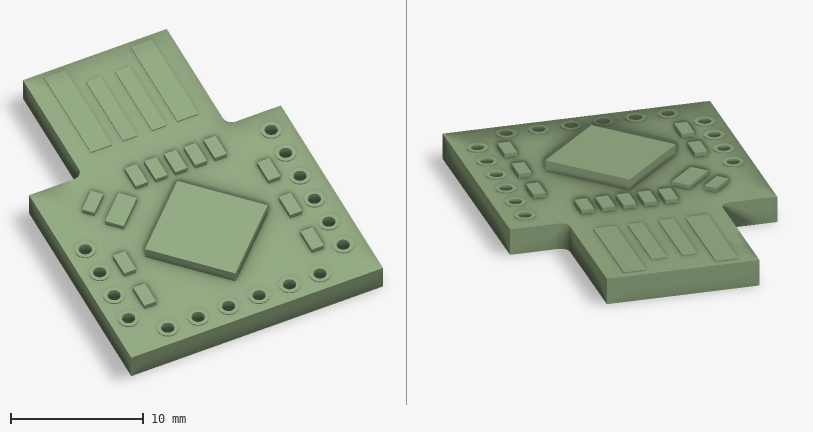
import cadquery as cq

board_length = 28.6
board_width = 21.0
board_thickness = 2.11
plug_length = 10.6
plug_width = 12.0
corner_radius = 0.75

copper_thickness = 0.1
contact_end_x = 8.78
power_contact_length = 8.22
power_contact_width = 1.76
power_contact_offset = 3.61
data_contact_length = 6.5
data_contact_width = 1.2
data_contact_offset = 1.21

hole_diameter = 1.0
ring_diameter = 1.6
hole_pitch = 2.54
back_row_count = 6
back_row_start = (12.58, 8.75)
front_row_count = 4
front_row_start = (17.39, -9.03)
end_row_count = 6
end_row_start = (27.14, -6.77)

overall_height = 3.01
chip_height = overall_height - board_thickness
chip_side = 7.24
chip_center = (19.92, -0.13)
turn_angle = -45

component_height = 0.4
component_length = 2.0
component_width = 1.0
column_count = 5
column_pitch = 1.65
column_start = (12.55, -2.5)
back_component_count = 3
back_component_pitch = 3.83
back_component_start = (16.3, 6.79)
front_component_count = 2
front_component_pitch = 3.56
front_component_start = (20.06, -7.02)
turned_component_center = (13.56, -6.6)
capacitor_length = 3.0
capacitor_width = 1.5
capacitor_center = (15.17, -5.0)


def row_along_x(start, pitch, count):
    return [(start[0] + i * pitch, start[1]) for i in range(count)]


def row_along_y(start, pitch, count):
    return [(start[0], start[1] + i * pitch) for i in range(count)]


def block_on_board(center, length, width, height, angle=0):
    """Rectangular block standing on the top face, turned about its own centre."""
    block = cq.Workplane("XY").box(length, width, height, centered=(True, True, False))
    block = block.rotate((0, 0, 0), (0, 0, 1), angle)
    return block.translate((center[0], center[1], board_thickness))


def make_board():
    """Wide body and narrower plug, with rounded inside corners between them."""
    body_length = board_length - plug_length
    centering = (False, True, False)
    body = cq.Workplane("XY").box(body_length, board_width, board_thickness, centered=centering)
    plug = cq.Workplane("XY").box(board_length, plug_width, board_thickness, centered=centering)
    board = body.translate((plug_length, 0, 0)).union(plug)
    inside_corners = cq.selectors.BoxSelector(
        (plug_length - corner_radius, -plug_width / 2 - corner_radius, 0),
        (plug_length + corner_radius, plug_width / 2 + corner_radius, board_thickness),
    )
    return board.edges("|Z").edges(inside_corners).fillet(corner_radius)


def add_contacts(board):
    contact_kinds = [
        (power_contact_length, power_contact_width, power_contact_offset),
        (data_contact_length, data_contact_width, data_contact_offset),
    ]
    for length, width, offset in contact_kinds:
        for side in (-1, 1):
            center = (contact_end_x - length / 2, side * offset)
            board = board.union(block_on_board(center, length, width, copper_thickness))
    return board


def add_pin_holes(board):
    """Raised copper rings, with a hole through each ring and the board."""
    centers = row_along_x(back_row_start, hole_pitch, back_row_count)
    centers += row_along_x(front_row_start, hole_pitch, front_row_count)
    centers += row_along_y(end_row_start, hole_pitch, end_row_count)
    ring_top = board_thickness + copper_thickness
    rings = (
        cq.Workplane("XY", origin=(0, 0, board_thickness))
        .pushPoints(centers)
        .circle(ring_diameter / 2)
        .extrude(copper_thickness)
    )
    holes = cq.Workplane("XY").pushPoints(centers).circle(hole_diameter / 2).extrude(ring_top)
    return board.union(rings).cut(holes)


def add_components(board):
    centers = row_along_y(column_start, column_pitch, column_count)
    centers += row_along_x(back_component_start, back_component_pitch, back_component_count)
    centers += row_along_x(front_component_start, front_component_pitch, front_component_count)
    for center in centers:
        board = board.union(block_on_board(center, component_length, component_width, component_height))
    turned_blocks = [
        (turned_component_center, component_length, component_width, component_height),
        (capacitor_center, capacitor_length, capacitor_width, component_height),
        (chip_center, chip_side, chip_side, chip_height),
    ]
    for center, length, width, height in turned_blocks:
        board = board.union(block_on_board(center, length, width, height, turn_angle))
    return board


result = add_components(add_pin_holes(add_contacts(make_board())))